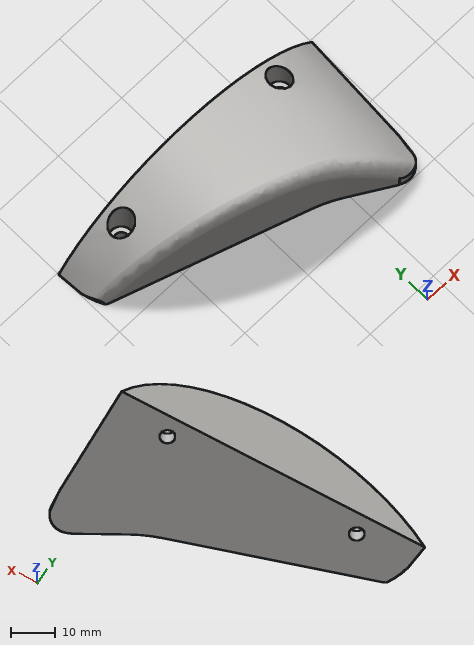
import cadquery as cq
import math

length = 80.2
height = 22.05
arch_radius = ((length / 2) ** 2 + height**2) / (2 * height)
taper_angle = math.radians(3)
body_depth = 51.3
base_allowance = 4.8

left_corner_y = -12.75
left_corner_x = -37.5
shallow_angle = math.radians(18)
steep_angle = math.radians(30.5)
bend_x = 15.5
bend_radius = 36.1
overhang = 16.0
edge_radius = 3.2

left_round_start = (-39.8, -5.5)
left_round_middle = (-39.1, -9.0)
nose_center = (32.55, -34.3)
nose_radius = 4.8
nose_side_angle = math.radians(-10)

hole_spacing = 50.0
hole_center_x = -0.1
hole_y = -5.0
hole_diameter = 3.5
counterbore_diameter = 6.25
counterbore_floor = 4.0


def slab(bottom, top):
    """Oversized horizontal slab used to trim the body."""
    return cq.Workplane("XY", origin=(0, 0, bottom)).rect(3 * length, 3 * length).extrude(top - bottom)


def arched_body():
    """Upper part of a horizontal cone, kept a little below the base plane."""
    front_radius = arch_radius - body_depth * math.tan(taper_angle)
    cone = cq.Solid.makeCone(
        arch_radius, front_radius, body_depth, pnt=(0, 0, height - arch_radius), dir=(0, -1, 0)
    )
    return cq.Workplane("XY").add(cone).intersect(slab(-base_allowance, height))


def front_cutter():
    """Material in front of the bent front wall."""
    bend_y = left_corner_y - (bend_x - left_corner_x) * math.tan(shallow_angle)
    left = -length / 2 - overhang
    right = length / 2 + overhang
    left_y = bend_y + (bend_x - left) * math.tan(shallow_angle)
    right_y = bend_y - (right - bend_x) * math.tan(steep_angle)
    front_y = -length
    outline = [
        (left, left_y),
        (bend_x, bend_y),
        (right, right_y),
        (right, front_y),
        (left, front_y),
    ]
    return (
        cq.Workplane("XY")
        .polyline(outline)
        .close()
        .extrude(height + base_allowance)
        .translate((0, 0, -base_allowance))
        .edges(cq.selectors.NearestToPointSelector((bend_x, bend_y, height / 2)))
        .fillet(bend_radius)
    )


def plan_limits():
    """Upright prism that rounds the left end and the nose."""
    nose_x, nose_y = nose_center

    def nose_point(angle):
        return (nose_x + nose_radius * math.cos(angle), nose_y + nose_radius * math.sin(angle))

    front_angle = -math.pi / 2 - steep_angle
    nose_front = nose_point(front_angle)
    nose_side = nose_point(nose_side_angle)
    side_x = nose_side[0] + nose_side[1] * math.tan(nose_side_angle)
    return (
        cq.Workplane("XY")
        .moveTo(-length / 2 - overhang, 0)
        .lineTo(*left_round_start)
        .threePointArc(left_round_middle, (left_corner_x, left_corner_y))
        .lineTo(left_corner_x, nose_front[1])
        .lineTo(*nose_front)
        .threePointArc(nose_point((front_angle + nose_side_angle) / 2), nose_side)
        .lineTo(side_x, 0)
        .close()
        .extrude(height)
    )


def screw_hole(x):
    through = cq.Workplane("XY").center(x, hole_y).circle(hole_diameter / 2).extrude(height)
    bore = (
        cq.Workplane("XY", origin=(x, hole_y, counterbore_floor))
        .circle(counterbore_diameter / 2)
        .extrude(height)
    )
    return through.union(bore)


result = arched_body().cut(front_cutter())

front_box = cq.selectors.BoxSelector((-length, -length, 0), (length, -edge_radius, height))
front_rim = result.edges(front_box).edges("not |Z")
result = front_rim.fillet(edge_radius).intersect(slab(0, height))
result = result.intersect(plan_limits())
for side in (-1, 1):
    result = result.cut(screw_hole(hole_center_x + side * hole_spacing / 2))